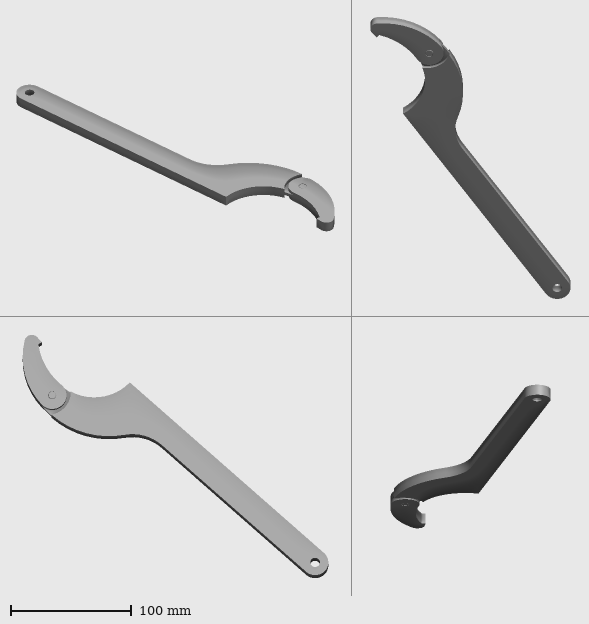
import cadquery as cq
import math

thickness = 9.0
bar_width = 22.0
bar_end_radius = bar_width / 2
bar_hole_diameter = 8.0
overall_height = 64.5

pivot = (269.5, 51.7)
hinge_radius = 11.8
pin_diameter = 6.7
pin_chamfer = 0.5
tongue_thickness = 3.0
hinge_clearance = 0.1
shoulder_center = (274.5, 52.7)
shoulder_radius = 19.8

head_center = (258.5, -6.5)
head_radius = overall_height - head_center[1]
neck_fillet_radius = 36.0
bore_center = (pivot[0], 0.0)
bore_radius = pivot[1] - hinge_radius

hook_outer_radius = 61.5
hook_inner_radius = 55.2
tip_center = (313.0, 29.0)
tip_radius = 6.0
notch_corner = (307.7, 26.8)
tooth_corner = (306.7, 23.5)


def point_at(center, radius, angle):
    """Point on a circle, with the angle in degrees from +X."""
    turn = math.radians(angle)
    return (center[0] + radius * math.cos(turn), center[1] + radius * math.sin(turn))


def angle_to(start, end):
    """Direction from one point to another, in degrees from +X."""
    return math.degrees(math.atan2(end[1] - start[1], end[0] - start[0]))


def right_hand_apex(first, first_distance, second, second_distance):
    """Point at the given distances from two points, right of the line from the first to the second."""
    base = math.dist(first, second)
    along = (base**2 + first_distance**2 - second_distance**2) / (2 * base)
    aside = math.sqrt(first_distance**2 - along**2)
    turn = math.degrees(math.atan2(-aside, along))
    return point_at(first, first_distance, angle_to(first, second) + turn)


def arc_to(sketch, center, radius, start_angle, end_angle):
    """Continue an outline along a circular arc."""
    middle = point_at(center, radius, (start_angle + end_angle) / 2)
    return sketch.threePointArc(middle, point_at(center, radius, end_angle))


def disc(center, radius, height):
    """Round plate centred on the mid-plane Z = 0."""
    return cq.Workplane("XY").center(*center).circle(radius).extrude(height / 2, both=True)


def blade(outline, height):
    """Plate centred on the mid-plane Z = 0."""
    return outline.close().extrude(height / 2, both=True)


def handle_outline():
    """Bar, neck and head, ending in the round tip that surrounds the pivot."""
    fillet_center_y = bar_width + neck_fillet_radius
    center_rise = fillet_center_y - head_center[1]
    center_run = math.sqrt((head_radius + neck_fillet_radius) ** 2 - center_rise**2)
    fillet_center = (head_center[0] - center_run, fillet_center_y)
    head_start_angle = angle_to(head_center, fillet_center)
    head_end_angle = angle_to(head_center, pivot)

    outline = cq.Workplane("XY").moveTo(bar_end_radius, 0)
    outline = outline.threePointArc((0, bar_end_radius), (bar_end_radius, bar_width))
    outline = outline.lineTo(fillet_center[0], bar_width)
    outline = arc_to(outline, fillet_center, neck_fillet_radius, -90, head_start_angle - 180)
    outline = arc_to(outline, head_center, head_radius, head_start_angle, head_end_angle)
    outline = arc_to(outline, pivot, hinge_radius, head_end_angle, -90)
    return arc_to(outline, bore_center, bore_radius, 90, 180)


def hook_outline():
    """Curved claw from the round hinge end to the tooth at its tip."""
    outer_center = right_hand_apex(
        pivot, hook_outer_radius - hinge_radius, tip_center, hook_outer_radius - tip_radius
    )
    inner_center = right_hand_apex(
        pivot, hook_inner_radius + hinge_radius, notch_corner, hook_inner_radius
    )
    outer_start = angle_to(outer_center, pivot)
    outer_end = angle_to(outer_center, tip_center)
    inner_start = angle_to(inner_center, notch_corner)
    inner_end = angle_to(inner_center, pivot)

    tooth_reach = math.dist(tip_center, tooth_corner)
    tooth_angle = angle_to(tip_center, tooth_corner) + math.degrees(math.acos(tip_radius / tooth_reach))

    outline = cq.Workplane("XY").moveTo(*point_at(pivot, hinge_radius, outer_start))
    outline = arc_to(outline, outer_center, hook_outer_radius, outer_start, outer_end)
    outline = arc_to(outline, tip_center, tip_radius, outer_end, tooth_angle)
    outline = outline.lineTo(*tooth_corner).lineTo(*notch_corner)
    outline = arc_to(outline, inner_center, hook_inner_radius, inner_start, inner_end)
    return arc_to(outline, pivot, hinge_radius, inner_end + 180, outer_start)


def make_handle():
    """Handle with a thin tongue that carries the pivot hole."""
    handle = blade(handle_outline(), thickness)
    handle = handle.cut(disc(shoulder_center, shoulder_radius, thickness))
    tongue = blade(handle_outline(), tongue_thickness)
    handle = handle.union(tongue)
    handle = handle.cut(disc((bar_end_radius, bar_end_radius), bar_hole_diameter / 2, thickness))
    return handle.cut(disc(pivot, pin_diameter / 2, thickness))


def make_hook():
    """Hook whose hinge end is slotted to straddle the tongue."""
    hook = blade(hook_outline(), thickness)
    hook = hook.cut(disc(pivot, hinge_radius + hinge_clearance, tongue_thickness))
    return hook.cut(disc(pivot, pin_diameter / 2, thickness))


def make_pin():
    """Pin flush with both faces, chamfered at both ends."""
    return disc(pivot, pin_diameter / 2, thickness).edges().chamfer(pin_chamfer)


handle = make_handle()
hook = make_hook()
pin = make_pin()

result = cq.Compound.makeCompound([handle.val(), hook.val(), pin.val()])